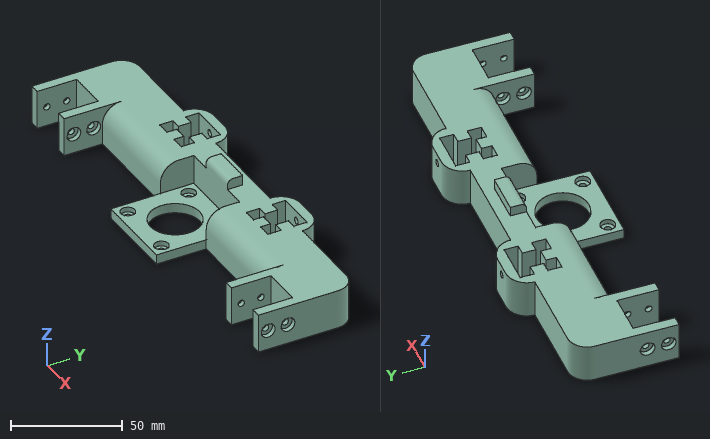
import cadquery as cq

width = 210.0
height = 20.0
wall = 5.0
body_rear = -10.0
corner_radius = 9.5

fork_gap = 20.0
leg_front = -60.0
fork_root = -40.0
fork_width = 2 * wall + fork_gap
leg_hole_spacing = 10.0
leg_hole_inset = 5.0

bar_front = -40.5
bar_radius = 9.5

hump_offset = 40.1
hump_radius = -body_rear
window_size = 20.0
hump_width = window_size + 2 * wall
window_center_y = -wall - window_size / 2
tab_width = 6.5
rear_hole_depth = 5.0

plate_size = 42.5
plate_front = -66.0
plate_center_y = plate_front + plate_size / 2
plate_rear = plate_front + plate_size
plate_bore = 25.0
plate_hole_pitch = 31.0

lip_length = 20.0
lip_depth = 7.8
lip_height = 5.0
lip_radius = 3.0

screw_diameter = 3.2
head_diameter = 7.0
head_depth = 2.5


def block(x_range, y_range, z_range):
    """Box spanning the given coordinate ranges."""
    size = [high - low for low, high in (x_range, y_range, z_range)]
    corner = (x_range[0], y_range[0], z_range[0])
    return cq.Workplane("XY").box(*size, centered=False).translate(corner)


def cylinder(start, direction, diameter, length):
    """Cylinder growing from a start point along a direction."""
    solid = cq.Solid.makeCylinder(diameter / 2, length, cq.Vector(*start), cq.Vector(*direction))
    return cq.Workplane(solid)


def screw_hole(start, direction):
    """Counterbored hole through one wall, entered at the head side."""
    head = cylinder(start, direction, head_diameter, head_depth)
    return head.union(cylinder(start, direction, screw_diameter, wall))


def make_body():
    """Rear slab with rounded corners, the rounded cross bar and a fork at each end."""
    half = width / 2
    bar_crest = bar_front + bar_radius
    slab = block((-half, half), (bar_crest, body_rear), (0, height))
    body = slab.edges("|Z and >Y").fillet(corner_radius)

    bar_half = half - fork_width
    bar = block((-bar_half, bar_half), (bar_front, body_rear), (0, height))
    body = body.union(bar.edges(">Z and <Y").fillet(bar_radius))

    for side in (-1, 1):
        fork_center = side * (half - fork_width / 2)
        fork = block(
            (fork_center - fork_width / 2, fork_center + fork_width / 2),
            (leg_front, bar_crest),
            (0, height),
        )
        gap = block(
            (fork_center - fork_gap / 2, fork_center + fork_gap / 2),
            (leg_front, fork_root),
            (0, height),
        )
        body = body.union(fork.cut(gap))
    return body


def cut_leg_holes(body):
    """Screw holes with their heads on the faces turned away from each fork gap."""
    outer_face = width / 2
    inner_face = outer_face - fork_width
    front_hole_y = leg_front + leg_hole_inset
    for side in (-1, 1):
        for y in (front_hole_y, front_hole_y + leg_hole_spacing):
            body = body.cut(screw_hole((side * outer_face, y, height / 2), (-side, 0, 0)))
            body = body.cut(screw_hole((side * inner_face, y, height / 2), (side, 0, 0)))
    return body


def add_hump(body, center_x):
    """Rounded hump with a square window, three tabs and a hole in the rear rim."""
    hump = block(
        (center_x - hump_width / 2, center_x + hump_width / 2),
        (body_rear - hump_radius, 0),
        (0, height),
    )
    body = body.union(hump.edges("|Z and >Y").fillet(hump_radius))

    half = window_size / 2
    window = block(
        (center_x - half, center_x + half),
        (window_center_y - half, window_center_y + half),
        (0, height),
    )
    tab_reach = half - wall
    half_tab = tab_width / 2
    side_tab_y = (window_center_y - half_tab, window_center_y + half_tab)
    for x_range, y_range in (
        ((center_x - half, center_x - tab_reach), side_tab_y),
        ((center_x + tab_reach, center_x + half), side_tab_y),
        ((center_x - half_tab, center_x + half_tab), (window_center_y - half, window_center_y - tab_reach)),
    ):
        window = window.cut(block(x_range, y_range, (0, height)))
    body = body.cut(window)

    rear_hole_z = height - rear_hole_depth
    return body.cut(cylinder((center_x, 0, rear_hole_z), (0, -1, 0), screw_diameter, wall))


def add_plate(body):
    """Thin square plate set into a notch through the bar."""
    half = plate_size / 2
    body = body.cut(block((-half, half), (plate_front, plate_rear), (wall, height)))
    body = body.union(block((-half, half), (plate_front, plate_rear), (0, wall)))
    body = body.cut(cylinder((0, plate_center_y, 0), (0, 0, 1), plate_bore, wall))
    for x_side in (-1, 1):
        for y_side in (-1, 1):
            x = x_side * plate_hole_pitch / 2
            y = plate_center_y + y_side * plate_hole_pitch / 2
            body = body.cut(screw_hole((x, y, wall), (0, 0, -1)))
    return body


def add_lip(body):
    """Raised lip along the rear of the notch, rounded toward the plate."""
    lip = block(
        (-lip_length / 2, lip_length / 2),
        (plate_rear, plate_rear + lip_depth),
        (height, height + lip_height),
    )
    return body.union(lip.edges(">Z and <Y").fillet(lip_radius))


result = cut_leg_holes(make_body())
for side in (-1, 1):
    result = add_hump(result, side * hump_offset)
result = add_lip(add_plate(result))